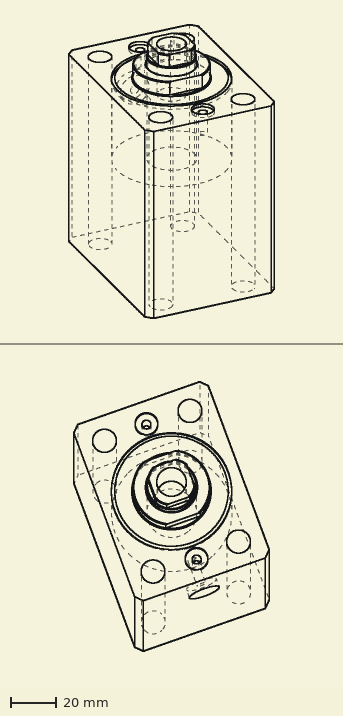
import cadquery as cq
import math

length = 85.0
width = 63.0
housing_top = 93.0
corner_chamfer = 3.0

mount_hole_diameter = 10.5
mount_spacing_x = 63.0
mount_spacing_y = 40.0

port_drill_diameter = 4.0
top_port_x = 32.5
top_recess_diameter = 10.0
top_recess_depth = 1.5
top_drill_reach = 12.0
side_port_z = 69.0
side_recess_diameter = 14.0
side_recess_depth = 4.0

gland_diameter = 53.0
gland_depth = 40.0
gland_chamfer = 1.5
collar_diameter = 34.0
collar_top = 100.0
collar_root_chamfer = 0.5
wrench_flat_width = 30.0
bore_chamfer = 0.5

rod_diameter = 22.0
shank_top = 104.0
square_width = 18.0
square_corner_diameter = 21.0
rod_top = 110.0
end_hole_diameter = 13.0
end_hole_depth = 25.0
drill_tip_angle = 118.0

edge_chamfer = 0.4

gland_bottom = housing_top - gland_depth
wrench_flat_bottom = housing_top + collar_root_chamfer


def cylinder(diameter, bottom, top):
    """Plain cylinder on the rod axis."""
    return cq.Workplane("XY", origin=(0, 0, bottom)).circle(diameter / 2).extrude(top - bottom)


def chamfered_cylinder(diameter, bottom, top, chamfer):
    """Cylinder on the rod axis with its top edge chamfered."""
    return cylinder(diameter, bottom, top).faces(">Z").chamfer(chamfer)


def frustum(bottom_diameter, bottom, top_diameter, top):
    """Cone frustum on the rod axis; a zero diameter makes a pointed cone."""
    solid = cq.Solid.makeCone(bottom_diameter / 2, top_diameter / 2, top - bottom, cq.Vector(0, 0, bottom))
    return cq.Workplane(solid)


def rectangular_prism(size_x, size_y, bottom, top):
    """Rectangular bar on the rod axis, used to cut flats."""
    return cq.Workplane("XY", origin=(0, 0, bottom)).rect(size_x, size_y).extrude(top - bottom)


def port(plane, recess_diameter, recess_depth, drill_reach):
    """Seal recess with a flat-ended drilling; both are measured from the housing face."""
    recess = cq.Workplane(plane).circle(recess_diameter / 2).extrude(-recess_depth)
    drilling = cq.Workplane(plane).circle(port_drill_diameter / 2).extrude(-drill_reach)
    return recess.union(drilling)


def make_housing():
    body = (
        cq.Workplane("XY")
        .box(length, width, housing_top, centered=(True, True, False))
        .edges("|Z")
        .chamfer(corner_chamfer)
    )
    mount_holes = (
        cq.Workplane("XY")
        .rarray(mount_spacing_x, mount_spacing_y, 2, 2)
        .circle(mount_hole_diameter / 2)
        .extrude(housing_top)
    )
    gland_bore = cylinder(gland_diameter, gland_bottom, housing_top)
    body = body.cut(mount_holes).cut(gland_bore)

    for x in (-top_port_x, top_port_x):
        top_plane = cq.Plane(origin=(x, 0, housing_top), xDir=(1, 0, 0), normal=(0, 0, 1))
        body = body.cut(port(top_plane, top_recess_diameter, top_recess_depth, top_drill_reach))

    side_plane = cq.Plane(origin=(-length / 2, 0, side_port_z), xDir=(0, 1, 0), normal=(-1, 0, 0))
    return body.cut(port(side_plane, side_recess_diameter, side_recess_depth, length / 2))


def make_gland():
    sleeve = chamfered_cylinder(gland_diameter, gland_bottom, housing_top, gland_chamfer)
    collar_root = frustum(
        collar_diameter + 2 * collar_root_chamfer, housing_top, collar_diameter, wrench_flat_bottom
    )
    collar = chamfered_cylinder(collar_diameter, wrench_flat_bottom, collar_top, edge_chamfer)
    wrench_flats = rectangular_prism(wrench_flat_width, collar_diameter, wrench_flat_bottom, collar_top)
    rod_bore = cylinder(rod_diameter, gland_bottom, collar_top)
    bore_mouth = frustum(
        rod_diameter, collar_top - bore_chamfer, rod_diameter + 2 * bore_chamfer, collar_top
    )
    body = sleeve.union(collar_root).union(collar.intersect(wrench_flats))
    return body.cut(rod_bore).cut(bore_mouth)


def make_rod():
    shank = chamfered_cylinder(rod_diameter, gland_bottom, shank_top, edge_chamfer)
    square_end = chamfered_cylinder(square_corner_diameter, shank_top, rod_top, edge_chamfer).intersect(
        rectangular_prism(square_width, square_width, shank_top, rod_top)
    )
    hole_bottom = rod_top - end_hole_depth
    tip_height = end_hole_diameter / 2 / math.tan(math.radians(drill_tip_angle / 2))
    end_hole = cylinder(end_hole_diameter, hole_bottom, rod_top)
    drill_tip = frustum(0, hole_bottom - tip_height, end_hole_diameter, hole_bottom)
    return shank.union(square_end).cut(end_hole).cut(drill_tip)


housing = make_housing()
gland = make_gland()
rod = make_rod()

result = cq.Compound.makeCompound([housing.val(), gland.val(), rod.val()])